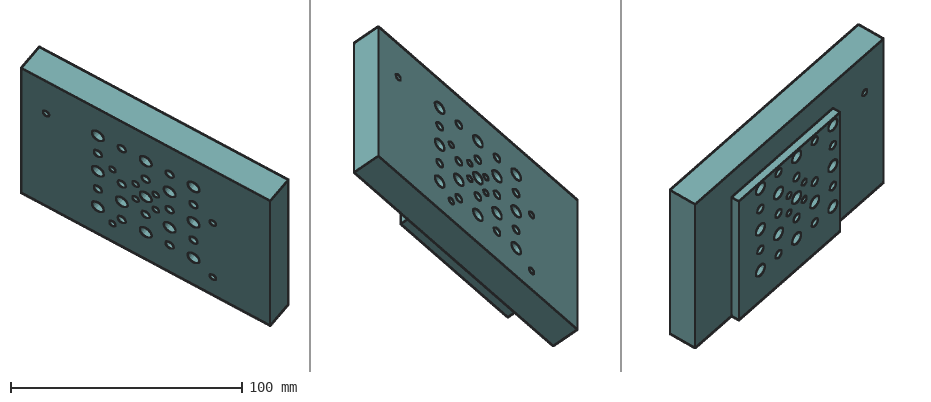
import cadquery as cq

plate_width = 130.0
plate_height = 87.9
plate_thickness = 14.0

backing_width = 70.0
backing_height = 72.7
total_thickness = 18.1
backing_thickness = total_thickness - plate_thickness
backing_center_x = 5.0
backing_center_z = (backing_height - plate_height) / 2

grid_pitch = 12.5
grid_reach = 2
wide_diameter = 6.1
narrow_diameter = 4.2
empty_grid_cell = (-1, 1)

small_diameter = 3.2
inner_hole_spacing = 10.5
side_hole = (-52.0, 21.2)
mount_spacing_x = 52.4
mount_spacing_z = 38.1
mount_center_x = 8.8
mount_center_z = -12.2


def block(width, thickness, height, center_x, front_y, center_z):
    """Rectangular block whose front face lies at front_y."""
    box = cq.Workplane("XY").box(width, thickness, height)
    return box.translate((center_x, front_y + thickness / 2, center_z))


def drills(points, diameter, length):
    """Cylinders running from the front face toward +Y, at (x, z) points."""
    return cq.Workplane("XZ").pushPoints(points).circle(diameter / 2).extrude(-length)


def rectangle_corners(center_x, center_z, spacing_x, spacing_z):
    return [
        (center_x + side_x * spacing_x / 2, center_z + side_z * spacing_z / 2)
        for side_x in (-1, 1)
        for side_z in (-1, 1)
    ]


def grid_points(parity):
    """Grid places whose column and row numbers add up to an even (0) or odd (1) number."""
    steps = range(-grid_reach, grid_reach + 1)
    return [
        (column * grid_pitch, row * grid_pitch)
        for column in steps
        for row in steps
        if (column + row) % 2 == parity and (column, row) != empty_grid_cell
    ]


def cut_center_pattern(body):
    """Grid and inner holes, which pass through both plates."""
    inner_points = rectangle_corners(0, 0, inner_hole_spacing, inner_hole_spacing)
    body = body.cut(drills(grid_points(0), wide_diameter, total_thickness))
    body = body.cut(drills(grid_points(1), narrow_diameter, total_thickness))
    return body.cut(drills(inner_points, small_diameter, total_thickness))


def make_main_plate():
    plate = block(plate_width, plate_thickness, plate_height, 0, 0, 0)
    plate = cut_center_pattern(plate)
    mount_points = rectangle_corners(
        mount_center_x, mount_center_z, mount_spacing_x, mount_spacing_z
    )
    return plate.cut(drills([side_hole, *mount_points], small_diameter, plate_thickness))


def make_backing_plate():
    plate = block(
        backing_width, backing_thickness, backing_height,
        backing_center_x, plate_thickness, backing_center_z,
    )
    return cut_center_pattern(plate)


main_plate = make_main_plate()
backing_plate = make_backing_plate()

result = cq.Compound.makeCompound([main_plate.val(), backing_plate.val()])